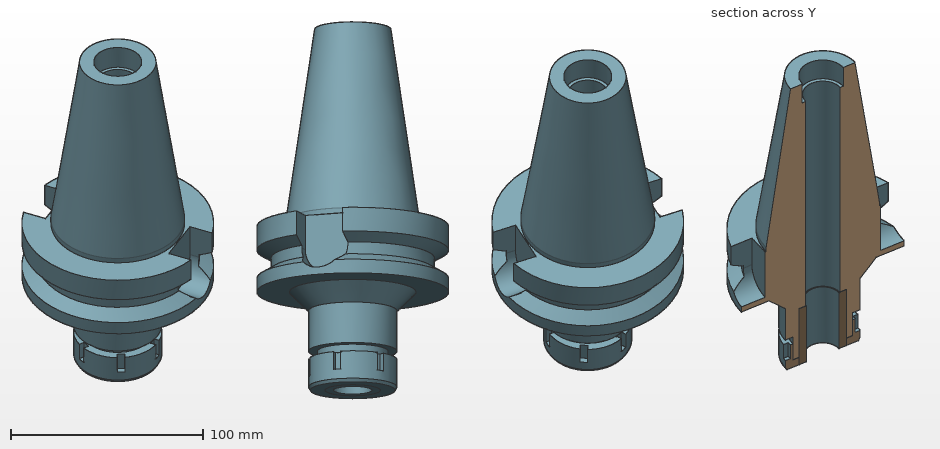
import cadquery as cq

TOTAL_HEIGHT = 191.8

NUT_RADIUS = 23.0
NUT_HEIGHT = 16.3
NUT_LIP_HEIGHT = 5.0
NUT_CHAMFER_HEIGHT = 1.7
NUT_CHAMFER_WIDTH = 1.0

SPANNER_SLOT_COUNT = 6
SPANNER_SLOT_WIDTH = 4.0
SPANNER_SLOT_HEIGHT = 9.4
SPANNER_SLOT_FLOOR_RADIUS = 20.0

COLLET_OUTER_RADIUS = 14.4
COLLET_BORE_RADIUS = 10.0
COLLET_LENGTH = 38.4

NECK_RADIUS = 18.5
NECK_TOP_Z = 20.7
NOSE_RADIUS = NUT_RADIUS
NOSE_TOP_Z = 42.2
NOSE_CONE_TOP_RADIUS = 33.0

FLANGE_DIAMETER = 100.0
FLANGE_RADIUS = FLANGE_DIAMETER / 2
FLANGE_BOTTOM_Z = 52.2
FLANGE_TOP_Z = 87.0
GROOVE_FLOOR_RADIUS = 42.5
GROOVE_BOTTOM_Z = 59.5
GROOVE_FLOOR_BOTTOM_Z = 63.9
GROOVE_FLOOR_TOP_Z = 70.2
GROOVE_TOP_Z = 74.5

KEY_SLOT_WIDTH = 25.7
KEY_SLOT_FLOOR_X = 35.5
KEY_SLOT_BOTTOM_Z = 56.0

TAPER_BASE_RADIUS = 35.0
TAPER_BASE_Z = 90.0
TAPER_TOP_RADIUS = 20.0

DRAWBAR_BORE_RADIUS = 10.5
DRAWBAR_COUNTERBORE_RADIUS = 12.5
DRAWBAR_COUNTERBORE_DEPTH = 12.9


def cylinder(radius, bottom_z, top_z):
    """Solid cylinder on the tool axis between two heights."""
    return cq.Workplane("XY").workplane(offset=bottom_z).circle(radius).extrude(top_z - bottom_z)


def revolve_about_axis(profile):
    """Solid of revolution about Z from a closed list of (radius, z) points."""
    return cq.Workplane("XZ").polyline(profile).close().revolve(360, (0, 0, 0), (0, 1, 0))


def make_holder_blank():
    """Outer form: neck, nose, cone, grooved flange and taper shank."""
    return revolve_about_axis([
        (0, NUT_LIP_HEIGHT),
        (NECK_RADIUS, NUT_LIP_HEIGHT),
        (NECK_RADIUS, NECK_TOP_Z),
        (NOSE_RADIUS, NECK_TOP_Z),
        (NOSE_RADIUS, NOSE_TOP_Z),
        (NOSE_CONE_TOP_RADIUS, FLANGE_BOTTOM_Z),
        (FLANGE_RADIUS, FLANGE_BOTTOM_Z),
        (FLANGE_RADIUS, GROOVE_BOTTOM_Z),
        (GROOVE_FLOOR_RADIUS, GROOVE_FLOOR_BOTTOM_Z),
        (GROOVE_FLOOR_RADIUS, GROOVE_FLOOR_TOP_Z),
        (FLANGE_RADIUS, GROOVE_TOP_Z),
        (FLANGE_RADIUS, FLANGE_TOP_Z),
        (TAPER_BASE_RADIUS, FLANGE_TOP_Z),
        (TAPER_BASE_RADIUS, TAPER_BASE_Z),
        (TAPER_TOP_RADIUS, TOTAL_HEIGHT),
        (0, TOTAL_HEIGHT),
    ])


def make_key_slot(side):
    """Round-bottomed cutter for one drive key slot; side is -1 or +1 along X."""
    half_width = KEY_SLOT_WIDTH / 2
    arc_center_z = KEY_SLOT_BOTTOM_Z + half_width
    outward_length = side * (FLANGE_RADIUS - KEY_SLOT_FLOOR_X)
    return (
        cq.Workplane("YZ")
        .workplane(offset=side * KEY_SLOT_FLOOR_X)
        .moveTo(-half_width, FLANGE_TOP_Z)
        .lineTo(-half_width, arc_center_z)
        .threePointArc((0, KEY_SLOT_BOTTOM_Z), (half_width, arc_center_z))
        .lineTo(half_width, FLANGE_TOP_Z)
        .close()
        .extrude(outward_length)
    )


def make_holder():
    holder = make_holder_blank()
    for side in (-1, 1):
        holder = holder.cut(make_key_slot(side))

    counterbore_floor_z = TOTAL_HEIGHT - DRAWBAR_COUNTERBORE_DEPTH
    holder = holder.cut(cylinder(COLLET_OUTER_RADIUS, NUT_LIP_HEIGHT, COLLET_LENGTH))
    holder = holder.cut(cylinder(DRAWBAR_BORE_RADIUS, COLLET_LENGTH, counterbore_floor_z))
    return holder.cut(cylinder(DRAWBAR_COUNTERBORE_RADIUS, counterbore_floor_z, TOTAL_HEIGHT))


def make_spanner_slot(angle):
    """Radial cutter for one spanner slot, open at the nut's top and outer side."""
    radial_length = NUT_RADIUS - SPANNER_SLOT_FLOOR_RADIUS
    return (
        cq.Workplane("XY")
        .box(radial_length, SPANNER_SLOT_WIDTH, SPANNER_SLOT_HEIGHT, centered=(False, True, False))
        .translate((SPANNER_SLOT_FLOOR_RADIUS, 0, NUT_HEIGHT - SPANNER_SLOT_HEIGHT))
        .rotate((0, 0, 0), (0, 0, 1), angle)
    )


def make_nut():
    """Chamfered ring whose bottom lip surrounds the collet and whose bore holds the neck."""
    nut = revolve_about_axis([
        (COLLET_OUTER_RADIUS, 0),
        (NUT_RADIUS - NUT_CHAMFER_WIDTH, 0),
        (NUT_RADIUS, NUT_CHAMFER_HEIGHT),
        (NUT_RADIUS, NUT_HEIGHT),
        (NECK_RADIUS, NUT_HEIGHT),
        (NECK_RADIUS, NUT_LIP_HEIGHT),
        (COLLET_OUTER_RADIUS, NUT_LIP_HEIGHT),
    ])
    for index in range(SPANNER_SLOT_COUNT):
        nut = nut.cut(make_spanner_slot(index * 360 / SPANNER_SLOT_COUNT))
    return nut


def make_collet():
    """Plain sleeve seated in the holder nose and flush with the nut face."""
    sleeve = cylinder(COLLET_OUTER_RADIUS, 0, COLLET_LENGTH)
    return sleeve.cut(cylinder(COLLET_BORE_RADIUS, 0, COLLET_LENGTH))


holder = make_holder()
nut = make_nut()
collet = make_collet()

result = cq.Compound.makeCompound([holder.val(), nut.val(), collet.val()])